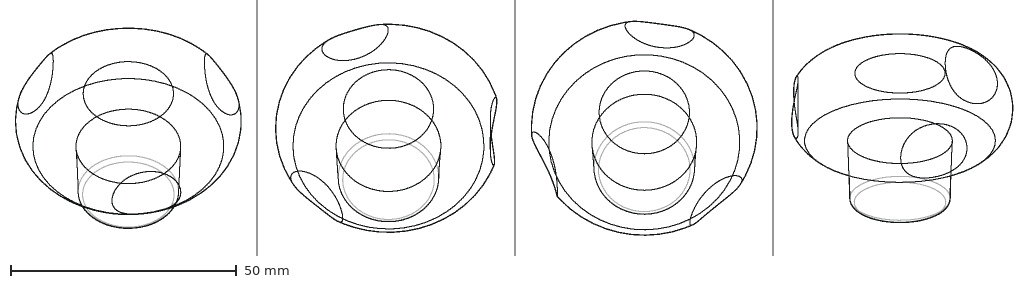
import cadquery as cq
import math

head_radius = 25.0
rim_section_radius = 10.0
rim_center_radius = head_radius - rim_section_radius
head_height = 17.9
rim_center_z = head_height - rim_section_radius
dish_floor_radius = 10.0

stem_length = 15.15
stem_top_radius = 11.6
stem_end_radius = 11.1
stem_edge_round = 1.0

scallop_radius = 25.0
scallop_floor_radius = 22.55
scallop_angles = (90, 210, 340)


def rim_point(angle):
    """Point (r, z) on the round rim section, at an angle in degrees above horizontal."""
    turn = math.radians(angle)
    return (
        rim_center_radius + rim_section_radius * math.cos(turn),
        rim_center_z + rim_section_radius * math.sin(turn),
    )


def make_head():
    underside_angle = math.degrees(math.asin(-rim_center_z / rim_section_radius))
    dish_angle = math.degrees(math.acos((dish_floor_radius - rim_center_radius) / rim_section_radius))
    middle_angle = (underside_angle + dish_angle) / 2
    dish_edge = rim_point(dish_angle)
    profile = (
        cq.Workplane("XZ")
        .lineTo(*rim_point(underside_angle))
        .threePointArc(rim_point(middle_angle), dish_edge)
        .lineTo(0, dish_edge[1])
        .close()
    )
    return profile.revolve(360, (0, 0, 0), (0, 1, 0))


def make_stem():
    profile = (
        cq.Workplane("XZ")
        .lineTo(stem_top_radius, 0)
        .lineTo(stem_end_radius, -stem_length)
        .lineTo(0, -stem_length)
        .close()
    )
    stem = profile.revolve(360, (0, 0, 0), (0, 1, 0))
    return stem.faces("<Z").edges().fillet(stem_edge_round)


def make_scallop_cutter(angle):
    turn = math.radians(angle)
    axis_distance = scallop_floor_radius + scallop_radius
    return (
        cq.Workplane("XY")
        .center(axis_distance * math.cos(turn), axis_distance * math.sin(turn))
        .circle(scallop_radius)
        .extrude(head_height)
    )


result = make_head().union(make_stem())
for scallop_angle in scallop_angles:
    result = result.cut(make_scallop_cutter(scallop_angle))